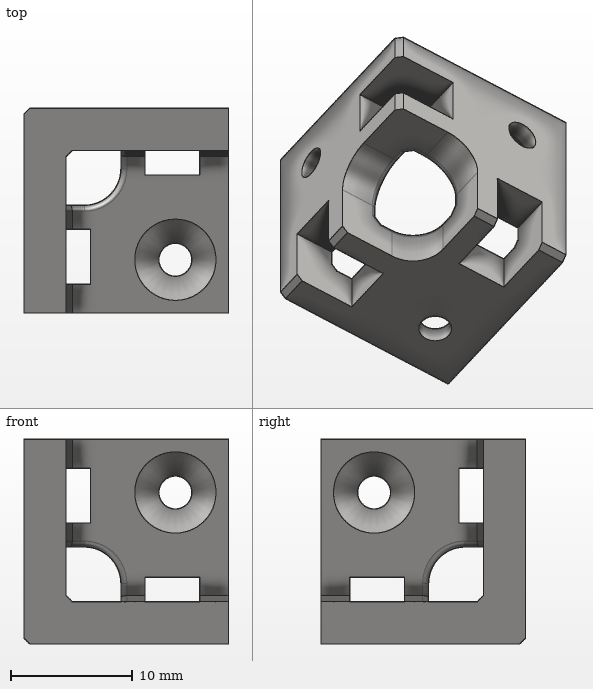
import cadquery as cq

side = 16.9
thickness = 3.5
edge_chamfer = 0.5

opening_side = 8.0
opening_radius = 3.0
rim_fillet = 0.5

notch_depth = 5.5
notch_start = 10.0
notch_length = 4.5

hole_offset = 12.5
hole_diameter = 2.7
sink_diameter = 6.7
sink_depth = (sink_diameter - hole_diameter) / 2

ORIGIN = (0, 0, 0)
DIAGONAL = (1, 1, 1)
PLATE_COUNT = 3
THIRD_TURN = 360 / PLATE_COUNT
CORNER_EDGES = "(<X and <Y) or (<X and <Z) or (<Y and <Z)"
SELECTION_MARGIN = 0.1


def chamfered_cube():
    """Cube with chamfers on the three edges that meet at the origin."""
    cube = cq.Workplane().box(side, side, side, centered=False)
    return cube.edges(CORNER_EDGES).chamfer(edge_chamfer)


def three_plates():
    """Corner of three plates, chamfered outside and along the inner seams."""
    inside = chamfered_cube().translate((thickness, thickness, thickness))
    return chamfered_cube().cut(inside)


def opening():
    """Rounded square prism that also clears the inner seam chamfers."""
    depth = thickness + edge_chamfer
    prism = cq.Workplane().box(opening_side, opening_side, depth, centered=False)
    return prism.edges("|Z and >X and >Y").fillet(opening_radius)


def notch():
    """Square bar lying along the edge shared by the X and Y plates."""
    bar = cq.Workplane().box(notch_depth, notch_depth, notch_length, centered=False)
    return bar.translate((0, 0, notch_start))


def screw_hole():
    """Through hole with a countersink opening on the inner face."""
    drill = cq.Workplane().circle(hole_diameter / 2).extrude(thickness)
    sink = (
        cq.Workplane()
        .workplane(offset=thickness - sink_depth)
        .circle(hole_diameter / 2)
        .workplane(offset=sink_depth)
        .circle(sink_diameter / 2)
        .loft()
    )
    return drill.union(sink).translate((hole_offset, hole_offset, 0))


def cut_on_all_plates(body, cutter):
    for index in range(PLATE_COUNT):
        body = body.cut(cutter.rotate(ORIGIN, DIAGONAL, THIRD_TURN * index))
    return body


def round_opening_rim(body):
    """Round the closed inner rim that runs around all three openings."""
    low = thickness - SELECTION_MARGIN
    high = opening_side + SELECTION_MARGIN
    rim = cq.selectors.BoxSelector((low, low, low), (high, high, high))
    return body.edges(rim).fillet(rim_fillet)


body = three_plates()
body = cut_on_all_plates(body, opening())
body = round_opening_rim(body)
body = cut_on_all_plates(body, notch())
body = cut_on_all_plates(body, screw_hole())

result = body.mirror("XZ").translate((0, side, 0))